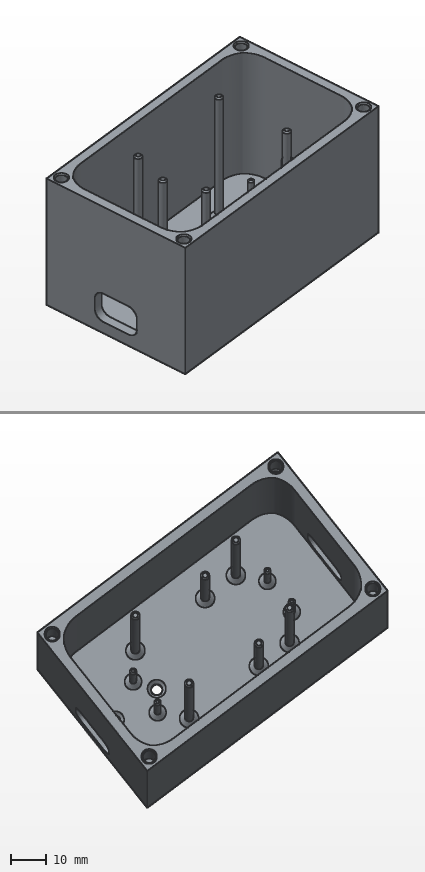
import cadquery as cq

width = 51.0
length = 86.0
height = 45.0
wall = 3.0
floor_height = 2.0
corner_start = 8.6
crease_inset = 2.3
corner_radius = ((corner_start - crease_inset) ** 2 + crease_inset**2) / (2 * crease_inset)

window_width = 15.5
window_height = 10.1
window_bottom = 4.0
window_radius = 3.2

screw_diameter = 3.5
screw_chamfer = 0.4
screw_depth = 10.0
cone_tip_diameter = 2.3
cone_tip_depth = (screw_diameter - cone_tip_diameter) / 2

large_diameter = 2.5
small_diameter = 1.9
post_flare = 1.5
post_tip_chamfer = 0.5
tall_top = height
middle_top = 30.0
short_top = 15.0
large_x = 12.5
large_y = 18.0
middle_y = -7.0
small_x = 5.7
small_y = 24.0

mount_diameter = 3.2
mount_countersink = 1.0
mount_positions = [(0, 19.95), (0, 34.9)]


def turned(profile, x, y):
    """Turn a closed half-profile about the Z axis and place it at (x, y)."""
    return profile.revolve(360, (0, 0, 0), (0, 1, 0)).translate((x, y, 0))


def make_cavity():
    """Cavity whose corners are two arcs, each tangent to a wall, meeting in a faint vertical crease."""
    half_x = width / 2 - wall
    half_y = length / 2 - wall
    profile = cq.Workplane("XY", origin=(0, 0, floor_height)).moveTo(half_x, 0)
    for side, end in [(1, 1), (-1, 1), (-1, -1), (1, -1)]:
        on_side_wall = (side * half_x, end * (half_y - corner_start))
        crease = (side * (half_x - crease_inset), end * (half_y - crease_inset))
        on_end_wall = (side * (half_x - corner_start), end * half_y)
        if side == end:
            start, finish = on_side_wall, on_end_wall
        else:
            start, finish = on_end_wall, on_side_wall
        profile = (
            profile.lineTo(*start)
            .radiusArc(crease, -corner_radius)
            .radiusArc(finish, -corner_radius)
        )
    return profile.close().extrude(height - floor_height)


def make_box():
    """Open-topped box with the cavity removed."""
    outer = cq.Workplane("XY").box(width, length, height, centered=(True, True, False))
    return outer.cut(make_cavity())


def make_window():
    """Rounded rectangular bar that opens the front and back walls."""
    return (
        cq.Workplane("XY", origin=(0, 0, window_bottom))
        .box(window_width, length, window_height, centered=(True, True, False))
        .edges("|Y")
        .fillet(window_radius)
    )


def make_screw_hole(x, y, cone_tip):
    """Blind hole with a chamfered mouth and, optionally, a blunt conical end."""
    radius = screw_diameter / 2
    bottom = height - screw_depth
    profile = (
        cq.Workplane("XZ")
        .moveTo(0, height)
        .lineTo(radius + screw_chamfer, height)
        .lineTo(radius, height - screw_chamfer)
        .lineTo(radius, bottom)
    )
    if cone_tip:
        profile = profile.lineTo(cone_tip_diameter / 2, bottom - cone_tip_depth)
        bottom -= cone_tip_depth
    return turned(profile.lineTo(0, bottom).close(), x, y)


def make_post(x, y, diameter, top):
    """Round post, flared at the floor and chamfered at the tip, rooted in the floor."""
    radius = diameter / 2
    root = floor_height / 2
    profile = (
        cq.Workplane("XZ")
        .moveTo(0, root)
        .lineTo(radius + post_flare, root)
        .lineTo(radius + post_flare, floor_height)
        .lineTo(radius, floor_height + post_flare)
        .lineTo(radius, top - post_tip_chamfer)
        .lineTo(radius - post_tip_chamfer, top)
        .lineTo(0, top)
        .close()
    )
    return turned(profile, x, y)


def make_mount_hole(x, y):
    """Through hole with a 45 degree countersink at the floor."""
    radius = mount_diameter / 2
    profile = (
        cq.Workplane("XZ")
        .lineTo(radius, 0)
        .lineTo(radius, floor_height - mount_countersink)
        .lineTo(radius + mount_countersink, floor_height)
        .lineTo(0, floor_height)
        .close()
    )
    return turned(profile, x, y)


result = make_box().cut(make_window())

for side in (-1, 1):
    for end in (-1, 1):
        has_cone_tip = side > 0 and end < 0
        screw_x = side * (width / 2 - wall)
        screw_y = end * (length / 2 - wall)
        result = result.cut(make_screw_hole(screw_x, screw_y, has_cone_tip))
        result = result.union(make_post(side * large_x, end * large_y, large_diameter, tall_top))
        result = result.union(make_post(side * small_x, end * small_y, small_diameter, short_top))
    result = result.union(make_post(side * large_x, middle_y, large_diameter, middle_top))

for mount_x, mount_y in mount_positions:
    result = result.cut(make_mount_hole(mount_x, mount_y))